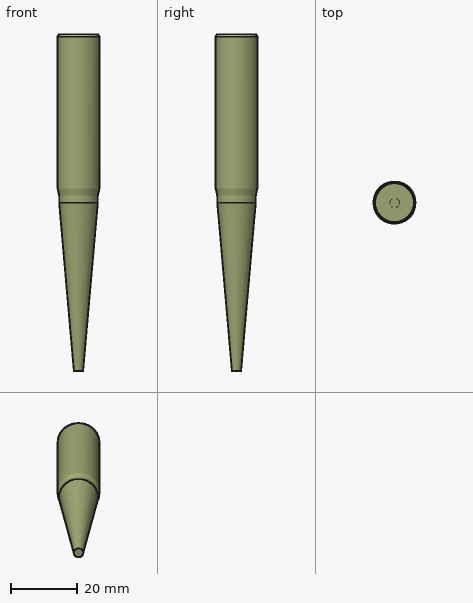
import cadquery as cq
import math

total_length = 101.6
shank_radius = 6.35
top_chamfer_height = 0.8
top_chamfer_inset = 0.5
cutter_length = 50.8
tip_radius = 1.4
taper_angle = 5.0
neck_length = 2.1
shoulder_length = 2.1

neck_radius = tip_radius + cutter_length * math.tan(math.radians(taper_angle))
neck_top = cutter_length + neck_length
shoulder_top = neck_top + shoulder_length


def revolve_profile(points):
    """Revolve a closed (radius, height) half-profile around the Z axis."""
    profile = cq.Workplane("XZ").polyline(points).close()
    return profile.revolve(360, (0, 0, 0), (0, 1, 0))


def make_shank():
    """Chamfered cylindrical shank with a conical shoulder down to a short neck."""
    return revolve_profile([
        (0, cutter_length),
        (neck_radius, cutter_length),
        (neck_radius, neck_top),
        (shank_radius, shoulder_top),
        (shank_radius, total_length - top_chamfer_height),
        (shank_radius - top_chamfer_inset, total_length),
        (0, total_length),
    ])


def make_cutter():
    """Tapered cutter with a flat tip, meeting the neck face."""
    return revolve_profile([
        (0, 0),
        (tip_radius, 0),
        (neck_radius, cutter_length),
        (0, cutter_length),
    ])


shank = make_shank()
cutter = make_cutter()

result = cq.Compound.makeCompound([shank.val(), cutter.val()])